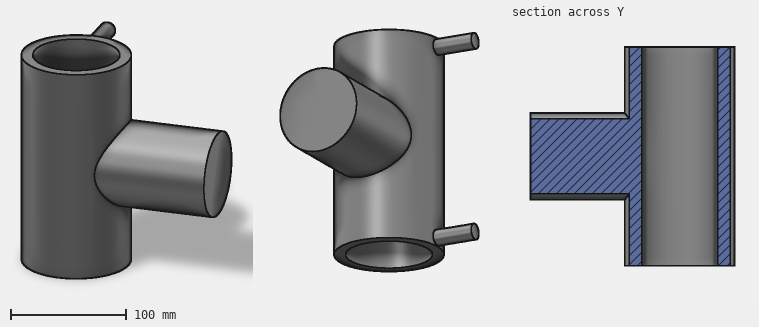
import cadquery as cq

tube_height = 189.0
tube_diameter = 95.0
bore_diameter = 75.0

branch_diameter = bore_diameter
branch_reach = 128.9
branch_height = tube_height / 2

pin_diameter = 14.2
pin_reach = 84.3
pin_end_distance = 8.0
pin_heights = (pin_end_distance, tube_height - pin_end_distance)


def make_branch():
    return (
        cq.Workplane("YZ")
        .center(0, branch_height)
        .circle(branch_diameter / 2)
        .extrude(branch_reach)
    )


def make_pin(height):
    return (
        cq.Workplane("XZ")
        .center(0, height)
        .circle(pin_diameter / 2)
        .extrude(-pin_reach)
    )


body = cq.Workplane("XY").circle(tube_diameter / 2).extrude(tube_height)
body = body.union(make_branch())
for pin_height in pin_heights:
    body = body.union(make_pin(pin_height))

bore = cq.Workplane("XY").circle(bore_diameter / 2).extrude(tube_height)
result = body.cut(bore)